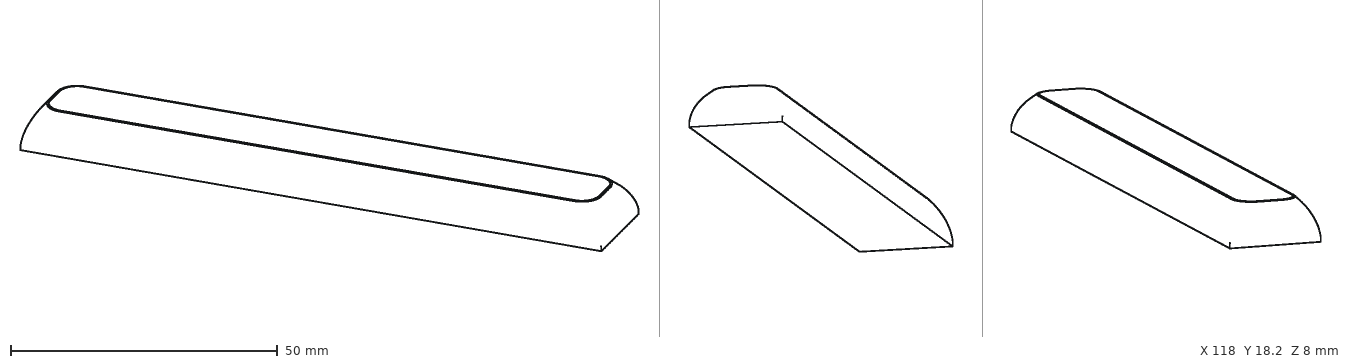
import cadquery as cq
import math

LENGTH = 118.0
WIDTH = 18.2
HEIGHT = 8.0

BAND_HEIGHT = 1.1
PLATE_HEIGHT = 0.1
PLATE_STEP = 0.4

CROWN_HEIGHT = HEIGHT - BAND_HEIGHT - PLATE_HEIGHT
SIDE_RADIUS = 9.5

SHARP_CORNER_RADIUS = 0.06
PLATE_CORNER_RADIUS = 3.5
CROWN_CORNER_RADIUS = PLATE_CORNER_RADIUS + PLATE_STEP
CROWN_SECTIONS = 5


def side_inset(rise):
    """Inward lean of the curved side at a given rise above the band."""
    return SIDE_RADIUS - math.sqrt(SIDE_RADIUS**2 - rise**2)


def rounded_outline(z, inset, corner_radius):
    """Rounded rectangle at height z, moved inward from the foot outline."""
    return (
        cq.Sketch()
        .rect(LENGTH - 2 * inset, WIDTH - 2 * inset)
        .vertices()
        .fillet(corner_radius)
        .moved(cq.Location(cq.Vector(0, 0, z)))
    )


def make_band():
    return cq.Workplane("XY").rect(LENGTH, WIDTH).extrude(BAND_HEIGHT)


def make_crown():
    """Loft of outlines that lean inward along the arc while their corners round out."""
    outlines = []
    for index in range(CROWN_SECTIONS):
        share = index / (CROWN_SECTIONS - 1)
        rise = share * CROWN_HEIGHT
        corner_radius = SHARP_CORNER_RADIUS + share * (CROWN_CORNER_RADIUS - SHARP_CORNER_RADIUS)
        outlines.append(rounded_outline(BAND_HEIGHT + rise, side_inset(rise), corner_radius))
    return cq.Workplane("XY").placeSketch(*outlines).loft()


def make_plate():
    """Thin plate standing on the crown, one small step in from its edge."""
    inset = side_inset(CROWN_HEIGHT) + PLATE_STEP
    outline = rounded_outline(HEIGHT - PLATE_HEIGHT, inset, PLATE_CORNER_RADIUS)
    return cq.Workplane("XY").placeSketch(outline).extrude(PLATE_HEIGHT)


result = make_band().union(make_crown()).union(make_plate())